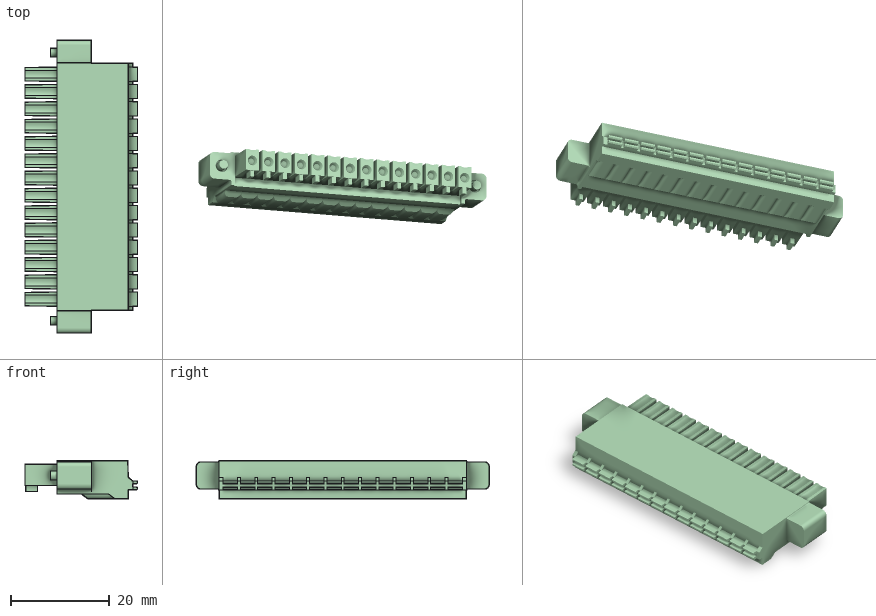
import cadquery as cq

pole_count = 14
pole_pitch = 3.5
overall_length = 22.8
overall_width = 59.3
overall_height = 7.75
axis_height = 4.72

body_front = 6.45
body_back = 20.95
body_back_top = 20.82
body_width = 50.0
body_floor = 0.95

rib_front = 11.45
rib_back = 16.95
rib_slant_run = 1.3
rib_round = 0.9
rib_row_width = pole_count * pole_pitch

recess_roof = 2.7
recess_width = 48.5
recess_depth = 0.85

flange_length = 7.0
flange_height = 5.55
flange_round = 1.0
flange_bottom = axis_height - flange_height / 2
flange_top = axis_height + flange_height / 2
blend_root = 0.5
upper_blend_width = 0.15
upper_blend_height = 0.23
lower_blend_width = 0.2
lower_blend_height = 0.5

screw_offset = 27.12
screw_radius = 0.9
screw_front = 5.15
screw_clearance_radius = 1.27
screw_clearance_depth = 0.8

plug_tip_width = 2.75
plug_root_width = 2.95
plug_top = 7.05
plug_overlap = 0.5
top_groove_width = 1.6
top_groove_depth = 0.2
socket_mouth_radius = 1.0
socket_floor_radius = 0.6
socket_depth = 0.8

key_front = 0.17
key_back = 2.55
key_width = 0.8
key_bottom = 1.45

ledge_back = 21.85
ledge_top = 4.35
ledge_bottom = 1.8
ledge_front_height = 3.6
tail_thickness = 0.6
tail_width = 2.9
tail_bevel_length = 0.25
tail_lower_bevel = 0.2
tail_upper_bevel = 0.06
upper_tail_bottom = 3.03
upper_tail_top = upper_tail_bottom + tail_thickness

pole_positions = [(i - (pole_count - 1) / 2) * pole_pitch for i in range(pole_count)]


def box(x_range, y_range, z_range):
    """Box between the given limits along each axis."""
    size = [limits[1] - limits[0] for limits in (x_range, y_range, z_range)]
    corner = (x_range[0], y_range[0], z_range[0])
    return cq.Workplane("XY").box(*size, centered=False).translate(corner)


def centred(width, middle=0):
    """Limits of a span of the given width about a middle position."""
    return (middle - width / 2, middle + width / 2)


def side_prism(points, width):
    """Prism of an XZ outline, centred on Y = 0."""
    return cq.Workplane("XZ").polyline(points).close().extrude(width / 2, both=True)


def make_body():
    upper = side_prism(
        [
            (body_front, body_floor),
            (body_back, body_floor),
            (body_back, ledge_top),
            (body_back_top, overall_height),
            (body_front, overall_height),
        ],
        body_width,
    )
    recess = box((body_front, body_front + recess_depth), centred(recess_width), (body_floor, recess_roof))
    slanted_back = side_prism(
        [
            (rib_back, body_floor),
            (rib_back + rib_slant_run, 0),
            (body_back, 0),
            (body_back, body_floor),
        ],
        body_width,
    )
    return upper.cut(recess).union(slanted_back)


def make_rib(middle):
    """Bottom rib with rounded long edges and a slanted front end."""
    rib = (
        box((rib_front, rib_back + rib_slant_run), centred(pole_pitch, middle), (0, 2 * body_floor))
        .edges("|X and <Z")
        .fillet(rib_round)
    )
    front_slant = side_prism(
        [(rib_front, 0), (rib_front, body_floor), (rib_front + rib_slant_run, 0)],
        rib_row_width,
    )
    return rib.cut(front_slant)


def blend_radius(width, height):
    """Radius of an arc tangent to the body side that covers the given width and height."""
    return (width**2 + height**2) / (2 * width)


def make_flange():
    """Mounting flange on the +Y end of the body."""
    side = body_width / 2
    outer = overall_width / 2
    outline = (
        cq.Workplane("YZ", origin=(body_front, 0, 0))
        .moveTo(side - blend_root, flange_bottom - lower_blend_height)
        .lineTo(side, flange_bottom - lower_blend_height)
        .radiusArc(
            (side + lower_blend_width, flange_bottom),
            blend_radius(lower_blend_width, lower_blend_height),
        )
        .lineTo(outer - flange_round, flange_bottom)
        .radiusArc((outer, flange_bottom + flange_round), -flange_round)
        .lineTo(outer, flange_top - flange_round)
        .radiusArc((outer - flange_round, flange_top), -flange_round)
        .lineTo(side + upper_blend_width, flange_top)
        .radiusArc(
            (side, flange_top + upper_blend_height),
            blend_radius(upper_blend_width, upper_blend_height),
        )
        .lineTo(side - blend_root, flange_top + upper_blend_height)
        .close()
    )
    flange = outline.extrude(flange_length)
    clearance = (
        cq.Workplane("YZ", origin=(body_front, 0, 0))
        .center(screw_offset, axis_height)
        .circle(screw_clearance_radius)
        .extrude(screw_clearance_depth)
    )
    screw = (
        cq.Workplane("YZ", origin=(screw_front, 0, 0))
        .center(screw_offset, axis_height)
        .circle(screw_radius)
        .extrude(body_front + screw_clearance_depth - screw_front)
    )
    return flange.cut(clearance).union(screw)


def make_plug(middle):
    """Slightly tapered plug with a hollow top, a conical socket and a coding key."""
    plug_back = body_front + plug_overlap
    plug = (
        cq.Workplane("XY", origin=(0, middle, recess_roof))
        .polyline(
            [
                (0, -plug_tip_width / 2),
                (plug_back, -plug_root_width / 2),
                (plug_back, plug_root_width / 2),
                (0, plug_tip_width / 2),
            ]
        )
        .close()
        .extrude(plug_top - recess_roof)
    )
    half_chord = top_groove_width / 2
    groove_radius = (half_chord**2 + top_groove_depth**2) / (2 * top_groove_depth)
    groove = (
        cq.Workplane("YZ")
        .center(middle, plug_top + groove_radius - top_groove_depth)
        .circle(groove_radius)
        .extrude(body_front)
    )
    socket = cq.Workplane(
        cq.Solid.makeCone(
            socket_mouth_radius,
            socket_floor_radius,
            socket_depth,
            pnt=cq.Vector(0, middle, axis_height),
            dir=cq.Vector(1, 0, 0),
        )
    )
    key = box((key_front, key_back), centred(key_width, middle), (key_bottom, recess_roof))
    return plug.cut(groove).cut(socket).union(key)


def make_ledge():
    """Ledge along the back of the body, notched above each pair of tails."""
    ledge = side_prism(
        [
            (body_back, ledge_bottom),
            (ledge_back, ledge_bottom),
            (ledge_back, ledge_front_height),
            (body_back, ledge_top),
        ],
        body_width,
    )
    for middle in pole_positions:
        ledge = ledge.cut(
            box((body_back, ledge_back), centred(tail_width, middle), (upper_tail_top, ledge_top))
        )
    return ledge


def make_tail(middle, bottom):
    """Flat solder tail with bevelled tip edges."""
    top = bottom + tail_thickness
    bevel_start = overall_length - tail_bevel_length
    outline = [
        (body_back, bottom),
        (bevel_start, bottom),
        (overall_length, bottom + tail_lower_bevel),
        (overall_length, top - tail_upper_bevel),
        (bevel_start, top),
        (body_back, top),
    ]
    return side_prism(outline, tail_width).translate((0, middle, 0))


result = make_body().union(make_ledge())
for pole in pole_positions:
    result = result.union(make_rib(pole))
    result = result.union(make_plug(pole))
    result = result.union(make_tail(pole, upper_tail_bottom))
    result = result.union(make_tail(pole, ledge_bottom))

end_flange = make_flange()
result = result.union(end_flange).union(end_flange.mirror("XZ"))